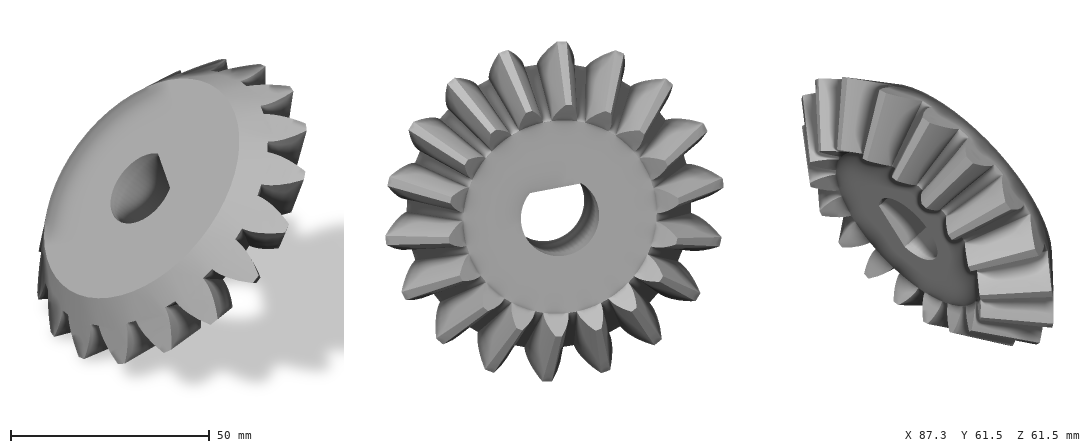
import cadquery as cq
import math

tooth_count = 18
tip_diameter = 87.3
pressure_angle = math.radians(25)
cone_angle = math.radians(45)
module = tip_diameter / (tooth_count + 2 * math.cos(cone_angle))
face_width = 18.3
tooth_phase = 1.0
addendum = module
dedendum = 1.25 * module

back_face_radius = 31.4
bore_radius = 10.05
flat_distance = 7.5
flat_direction = 70
axis_tilt = 45

pitch_radius = module * tooth_count / 2
cone_distance = pitch_radius / math.sin(cone_angle)
inner_scale = (cone_distance - face_width) / cone_distance
virtual_radius = pitch_radius / math.cos(cone_angle)
virtual_base_radius = virtual_radius * math.cos(pressure_angle)
pitch_height = cone_distance * math.cos(cone_angle)
back_face_height = pitch_height + (pitch_radius - back_face_radius) * math.tan(cone_angle)


def back_cone_point(offset, scale=1.0):
    """Radius and height of a point on the back cone, offset outward from the pitch circle."""
    radius = pitch_radius + offset * math.cos(cone_angle)
    height = pitch_height - offset * math.sin(cone_angle)
    return radius * scale, height * scale


def make_blank():
    inner_root = back_cone_point(-dedendum, inner_scale)
    return (
        cq.Workplane("XZ")
        .moveTo(0, back_face_height)
        .lineTo(back_face_radius, back_face_height)
        .lineTo(*back_cone_point(addendum))
        .lineTo(*back_cone_point(addendum, inner_scale))
        .lineTo(*inner_root)
        .lineTo(0, inner_root[1])
        .close()
        .revolve(360, (0, 0), (0, 1))
    )


def involute(angle):
    return math.tan(angle) - angle


def flank_point(radius):
    """Point on one side of the space between two teeth of the equivalent spur gear."""
    roll = math.acos(min(1.0, virtual_base_radius / radius))
    half_space = module * math.pi / 4 / virtual_radius + involute(roll) - involute(pressure_angle)
    return radius * math.cos(half_space) - virtual_radius, radius * math.sin(half_space)


def gap_section(scale):
    """Closed outline of a tooth space in a plane square to the pitch cone."""
    steps = 6
    overshoot = 1.5 * module
    start = virtual_base_radius
    end = virtual_radius + overshoot
    flank = [flank_point(start + (end - start) * i / steps) for i in range(steps + 1)]
    root_half_width = flank[0][1]
    upper = [(x * scale, y * scale) for x, y in flank]
    lower = [(x, -y) for x, y in reversed(upper)]
    distance = cone_distance * scale
    plane = cq.Plane(
        origin=(distance * math.sin(cone_angle), 0, distance * math.cos(cone_angle)),
        xDir=(math.cos(cone_angle), 0, -math.sin(cone_angle)),
        normal=(math.sin(cone_angle), 0, math.cos(cone_angle)),
    )
    return (
        cq.Workplane(plane)
        .moveTo(-dedendum * scale, -root_half_width * scale)
        .lineTo(-dedendum * scale, root_half_width * scale)
        .lineTo(*upper[0])
        .spline(upper[1:], includeCurrent=True)
        .lineTo(*lower[0])
        .spline(lower[1:], includeCurrent=True)
        .close()
        .wires()
        .val()
    )


def make_gap():
    end_margin = 0.15
    sections = [gap_section(1 + end_margin), gap_section(inner_scale - end_margin)]
    return cq.Workplane(cq.Solid.makeLoft(sections, True))


def make_bore():
    side = 2 * bore_radius
    height = 2 * back_face_height
    flat_side = (
        cq.Workplane("XY")
        .box(side, side, height)
        .translate((flat_distance - bore_radius, 0, 0))
        .rotate((0, 0, 0), (0, 0, 1), flat_direction)
    )
    return cq.Workplane("XY").circle(bore_radius).extrude(back_face_height).intersect(flat_side)


gear = make_blank().cut(make_bore())
gap = make_gap()
pitch_angle = 360 / tooth_count
for index in range(tooth_count):
    gear = gear.cut(gap.rotate((0, 0, 0), (0, 0, 1), (index + 0.5) * pitch_angle + tooth_phase))

result = gear.rotate((0, 0, 0), (1, 0, 0), axis_tilt)